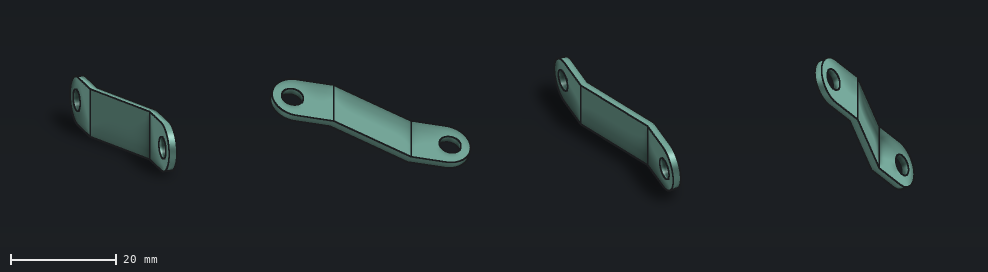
import cadquery as cq

length = 40.0
width = 9.6
thickness = 1.6
offset = 6.4

front_bend_left = 12.0
front_bend_right = 28.4
back_bend_left = length - front_bend_right
back_bend_right = length - front_bend_left

hole_diameter = 4.2
hole_end_distance = 4.0

depth = offset + thickness
strip = (
    cq.Workplane("XY")
    .polyline([
        (0, 0),
        (front_bend_left, 0),
        (front_bend_right, offset),
        (length, offset),
        (length, depth),
        (back_bend_right, depth),
        (back_bend_left, thickness),
        (0, thickness),
    ])
    .close()
    .extrude(width / 2, both=True)
    .translate((-length / 2, -depth / 2, 0))
)

rounded_outline = cq.Workplane("XZ").slot2D(length, width).extrude(depth, both=True)

hole_x = length / 2 - hole_end_distance
holes = (
    cq.Workplane("XZ")
    .pushPoints([(-hole_x, 0), (hole_x, 0)])
    .circle(hole_diameter / 2)
    .extrude(depth, both=True)
)

result = strip.intersect(rounded_outline).cut(holes)